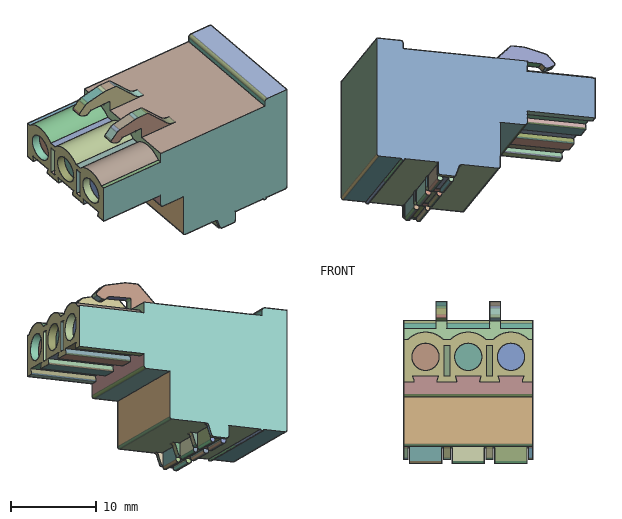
import cadquery as cq
import math


WIDTH = 15.1
LENGTH = 26.6
HOUSING_FRONT = 8.27
LOWER_FRONT = 11.57
STEP_Z = 5.77
HOUSING_TOP = 13.78
FLANGE_TOP = 14.75
FLANGE_LENGTH = 3.22
FLANGE_RADIUS = 0.37
STEP_RADIUS = 0.32
BOTTOM_RADIUS = 0.27

POLES = 3
PITCH = 5.0
POLE_XS = [(i - (POLES - 1) / 2) * PITCH for i in range(POLES)]
GAP_XS = [(i - (POLES - 2) / 2) * PITCH for i in range(POLES - 1)]

NOSE_BOTTOM = 7.53
SHOULDER_Z = 12.5
POLE_Z = 10.48
CROWN_RADIUS = 2.9
HOLE_RADIUS = 1.6
HOLE_DEPTH = 1.0
SLOT_WIDTH = 0.7
SLOT_TOP = 11.8
SLOT_BOTTOM = 8.25
GROOVE_DEPTH = 0.72
GROOVE_ROOT_WIDTH = 3.03
GROOVE_MOUTH_WIDTH = 2.58
GROOVE_LIP_RADIUS = 0.1

LATCH_SPACING = 6.3
LATCH_WIDTH = 1.28
LATCH_TOP = 16.97
LATCH_ROOT_Y = 13.15
LATCH_ROOT_RADIUS = 1.84
LATCH_RAMP = math.radians(45)
ARM_ROOT_Z = 15.15
ARM_BEND_Y = 7.53
ARM_SHOULDER = (4.85, 16.35)
HOOK_TIP = (3.67, 15.15)
BARB_FRONT = (4.63, 14.65)
BARB_REAR = (5.0, 14.65)
BARB_ROOT = (5.48, 15.08)
CREST_RADIUS = 0.37
ARM_BEND_RADIUS = 2.13
ARM_SHOULDER_RADIUS = 0.8
HOOK_TIP_RADIUS = 0.25
ARM_ROOT_RADIUS = 0.2

RIB_REAR = 19.13
RIB_FRONT_TOP = 16.47
RIB_FRONT_BOTTOM = 17.0
RIB_DEPTH = 1.55
RIB_ROOT_RADIUS = 0.32
RIB_BASE_HEIGHT = 0.53
RIB_WIDTH = 0.85
END_RIB_WIDTH = 0.5
PAD_WIDTH = 3.8
PAD_FRONT = 17.08
PAD_REAR = 19.05
PAD_DEPTH = 2.02
PAD_NOTCH_FRONT = 17.64
PAD_NOTCH_REAR = 18.38
FOOT_RADIUS = 0.27

BEAD_Y = 23.4
BEAD_RADIUS = 0.2


def prism(points, x_min, x_max):
    """Extrude a closed (Y, Z) outline between two X positions."""
    return cq.Workplane("YZ", origin=(x_min, 0, 0)).polyline(points).close().extrude(x_max - x_min)


def box(x_min, x_max, y_min, y_max, z_min, z_max):
    size = (x_max - x_min, y_max - y_min, z_max - z_min)
    return cq.Workplane().box(*size, centered=False).translate((x_min, y_min, z_min))


def round_edges(solid, x, corners, radius):
    """Round the X-direction edges centred at x that pass through the given (Y, Z) corners."""
    for y, z in corners:
        solid = solid.edges("|X").edges(cq.NearestToPointSelector((x, y, z))).fillet(radius)
    return solid


def make_housing():
    flange_front = LENGTH - FLANGE_LENGTH
    outline = [
        (LENGTH, 0),
        (LENGTH, FLANGE_TOP),
        (flange_front, FLANGE_TOP),
        (flange_front, HOUSING_TOP),
        (HOUSING_FRONT, HOUSING_TOP),
        (HOUSING_FRONT, STEP_Z),
        (LOWER_FRONT, STEP_Z),
        (LOWER_FRONT, 0),
    ]
    housing = prism(outline, -WIDTH / 2, WIDTH / 2)
    housing = round_edges(housing, 0, [(flange_front, FLANGE_TOP)], FLANGE_RADIUS)
    housing = round_edges(housing, 0, [(HOUSING_FRONT, STEP_Z)], STEP_RADIUS)
    return round_edges(housing, 0, [(LENGTH, 0), (LOWER_FRONT, 0)], BOTTOM_RADIUS)


def from_mating_face(sketch, depth=HOUSING_FRONT):
    """Extrude an X-Z sketch rearward from the mating face."""
    return sketch.extrude(-depth)


def make_dovetail_groove(x):
    mouth_left = x - GROOVE_MOUTH_WIDTH / 2
    mouth_right = x + GROOVE_MOUTH_WIDTH / 2
    root_left = x - GROOVE_ROOT_WIDTH / 2
    root_right = x + GROOVE_ROOT_WIDTH / 2
    root_z = NOSE_BOTTOM + GROOVE_DEPTH
    outline = [
        (mouth_left, NOSE_BOTTOM),
        (root_left, root_z),
        (root_right, root_z),
        (mouth_right, NOSE_BOTTOM),
    ]
    return from_mating_face(cq.Workplane("XZ").polyline(outline).close())


def make_nose():
    front = cq.Workplane("XZ")
    nose = box(-WIDTH / 2, WIDTH / 2, 0, HOUSING_FRONT, NOSE_BOTTOM, SHOULDER_Z)
    side_limits = box(-WIDTH / 2, WIDTH / 2, 0, HOUSING_FRONT, NOSE_BOTTOM, HOUSING_TOP)
    for x in POLE_XS:
        barrel = from_mating_face(front.center(x, POLE_Z).circle(CROWN_RADIUS))
        nose = nose.union(barrel.intersect(side_limits))
    for x in POLE_XS:
        nose = nose.cut(make_dovetail_groove(x))
        for lip_x in (x - GROOVE_MOUTH_WIDTH / 2, x + GROOVE_MOUTH_WIDTH / 2):
            lip = cq.NearestToPointSelector((lip_x, HOUSING_FRONT / 2, NOSE_BOTTOM))
            nose = nose.edges("|Y").edges(lip).fillet(GROOVE_LIP_RADIUS)
        nose = nose.cut(from_mating_face(front.center(x, POLE_Z).circle(HOLE_RADIUS), HOLE_DEPTH))
    for x in GAP_XS:
        slot = box(x - SLOT_WIDTH / 2, x + SLOT_WIDTH / 2, 0, HOUSING_FRONT, SLOT_BOTTOM, SLOT_TOP)
        nose = nose.cut(slot)
    return nose


def make_latch(x):
    ramp_start_y = LATCH_ROOT_Y - LATCH_ROOT_RADIUS * math.sin(LATCH_RAMP)
    ramp_start_z = HOUSING_TOP + LATCH_ROOT_RADIUS * (1 - math.cos(LATCH_RAMP))
    crest = (ramp_start_y - (LATCH_TOP - ramp_start_z) / math.tan(LATCH_RAMP), LATCH_TOP)
    arm_bend = (ARM_BEND_Y, LATCH_TOP)
    arm_root = (HOUSING_FRONT, ARM_ROOT_Z)
    latch = (
        cq.Workplane("YZ", origin=(x, 0, 0))
        .moveTo(LATCH_ROOT_Y, HOUSING_TOP)
        .radiusArc((ramp_start_y, ramp_start_z), LATCH_ROOT_RADIUS)
        .lineTo(*crest)
        .lineTo(*arm_bend)
        .lineTo(*ARM_SHOULDER)
        .lineTo(*HOOK_TIP)
        .lineTo(*BARB_FRONT)
        .lineTo(*BARB_REAR)
        .lineTo(*BARB_ROOT)
        .lineTo(*arm_root)
        .lineTo(HOUSING_FRONT, HOUSING_TOP)
        .close()
        .extrude(LATCH_WIDTH / 2, both=True)
    )
    latch = round_edges(latch, x, [crest], CREST_RADIUS)
    latch = round_edges(latch, x, [arm_bend], ARM_BEND_RADIUS)
    latch = round_edges(latch, x, [ARM_SHOULDER], ARM_SHOULDER_RADIUS)
    latch = round_edges(latch, x, [HOOK_TIP], HOOK_TIP_RADIUS)
    return round_edges(latch, x, [arm_root], ARM_ROOT_RADIUS)


def make_rib(x_min, x_max):
    """Rib with a sloping front, flared into a base that is buried in the housing."""
    bottom_corners = [(RIB_FRONT_BOTTOM, -RIB_DEPTH), (RIB_REAR, -RIB_DEPTH)]
    root_corner = (RIB_FRONT_TOP, 0)
    base_front = RIB_FRONT_TOP - 2 * RIB_ROOT_RADIUS
    outline = [
        (RIB_REAR, RIB_BASE_HEIGHT),
        (base_front, RIB_BASE_HEIGHT),
        (base_front, 0),
        root_corner,
        *bottom_corners,
    ]
    x_middle = (x_min + x_max) / 2
    rib = prism(outline, x_min, x_max)
    rib = round_edges(rib, x_middle, bottom_corners, FOOT_RADIUS)
    return round_edges(rib, x_middle, [root_corner], RIB_ROOT_RADIUS)


def make_pad(x):
    """Release pad whose underside is notched into two rounded feet."""
    left = x - PAD_WIDTH / 2
    right = x + PAD_WIDTH / 2
    pad = box(left, right, PAD_FRONT, PAD_REAR, -PAD_DEPTH, 0)
    notch = box(left, right, PAD_NOTCH_FRONT, PAD_NOTCH_REAR, -PAD_DEPTH, -RIB_DEPTH)
    foot_ys = [PAD_FRONT, PAD_NOTCH_FRONT, PAD_NOTCH_REAR, PAD_REAR]
    return round_edges(pad.cut(notch), x, [(y, -PAD_DEPTH) for y in foot_ys], FOOT_RADIUS)


def make_bead():
    return cq.Workplane("YZ").center(BEAD_Y, 0).circle(BEAD_RADIUS).extrude(WIDTH / 2, both=True)


result = make_housing().union(make_nose())
for latch_x in (-LATCH_SPACING / 2, LATCH_SPACING / 2):
    result = result.union(make_latch(latch_x))
for pole_x in POLE_XS:
    result = result.union(make_pad(pole_x))
for gap_x in GAP_XS:
    result = result.union(make_rib(gap_x - RIB_WIDTH / 2, gap_x + RIB_WIDTH / 2))
result = result.union(make_rib(-WIDTH / 2, -WIDTH / 2 + END_RIB_WIDTH))
result = result.union(make_rib(WIDTH / 2 - END_RIB_WIDTH, WIDTH / 2))
result = result.union(make_bead())